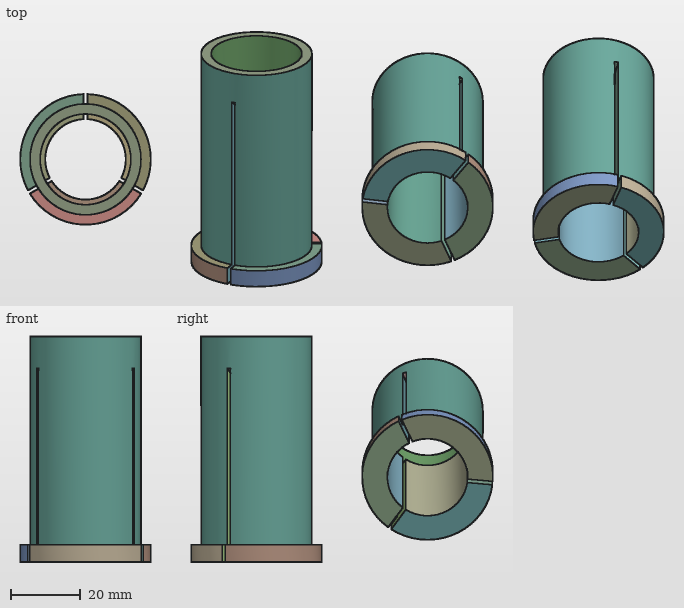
import cadquery as cq

total_height = 64.6
flange_diameter = 37.5
flange_height = 5.0
sleeve_diameter = 31.8
upper_bore_diameter = 26.0
lower_bore_diameter = 23.0
upper_bore_depth = 15.0

slot_width = 1.05
slot_outer_height = 55.55
slot_end_drop = 2.1
slot_inner_height = slot_outer_height - slot_end_drop
slot_count = 3
first_slot_angle = 90.0


def make_body():
    flange = cq.Workplane("XY").circle(flange_diameter / 2).extrude(flange_height)
    sleeve = cq.Workplane("XY").circle(sleeve_diameter / 2).extrude(total_height)
    return flange.union(sleeve)


def cut_stepped_bore(body):
    lower_bore = cq.Workplane("XY").circle(lower_bore_diameter / 2).extrude(total_height)
    upper_bore = (
        cq.Workplane("XY", origin=(0, 0, total_height - upper_bore_depth))
        .circle(upper_bore_diameter / 2)
        .extrude(upper_bore_depth)
    )
    return body.cut(lower_bore).cut(upper_bore)


def make_slot(angle):
    """Radial slot, open at the bottom, whose upper end slopes down from the outer wall to the bore."""
    outer_radius = sleeve_diameter / 2
    inner_radius = upper_bore_diameter / 2
    profile = [
        (inner_radius, slot_inner_height),
        (outer_radius, slot_outer_height),
        (flange_diameter, slot_outer_height),
        (flange_diameter, 0),
        (0, 0),
        (0, slot_inner_height),
    ]
    return (
        cq.Workplane("XZ")
        .polyline(profile)
        .close()
        .extrude(slot_width / 2, both=True)
        .rotate((0, 0, 0), (0, 0, 1), angle)
    )


result = cut_stepped_bore(make_body())
for index in range(slot_count):
    result = result.cut(make_slot(first_slot_angle + index * 360 / slot_count))